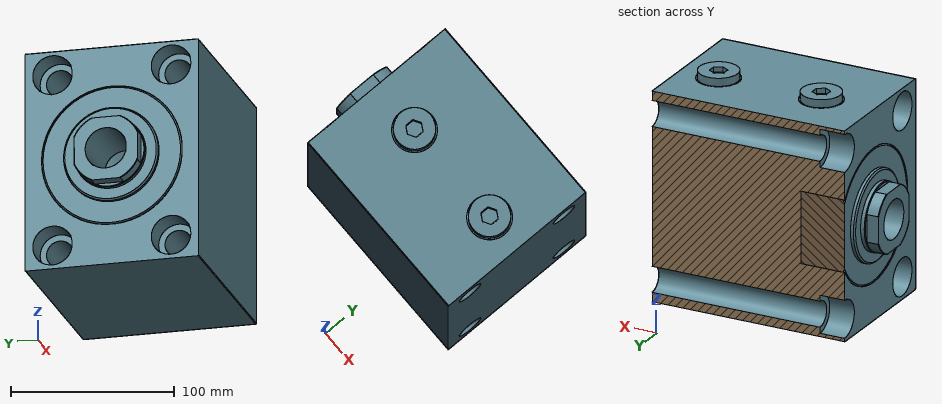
import cadquery as cq
import math


block_length = 133.0
block_width = 110.0
block_height = 140.0
edge_chamfer = 0.5
axis_height = block_height / 2

mount_spacing_y = 75.0
mount_spacing_z = 110.0
mount_hole_diameter = 17.0
mount_counterbore_diameter = 25.0
mount_counterbore_depth = 17.0

gland_diameter = 89.0
gland_depth = 30.0
gland_chamfer = 1.0
collar_diameter = 60.0
collar_reach = 3.0
collar_chamfer_length = 1.0
collar_chamfer_depth = 1.0

rod_diameter = 45.0
rod_chamfer = 0.5
rod_shoulder_reach = 6.0
rod_tip_reach = 14.0
rod_inner_depth = 60.0
wrench_diameter = 44.0
wrench_across_flats = 40.0
wrench_tip_chamfer = 0.3
rod_hole_diameter = 26.0
rod_hole_depth = 45.0
drill_point_angle = 118.0

plug_positions_x = (36.0, 107.0)
plug_diameter = 26.0
plug_reach = 4.9
plug_socket_across_flats = 9.7
plug_socket_depth = 3.5
spotface_diameter = 28.0
spotface_depth = 0.5


def rod_axis_cylinder(diameter, start_x, end_x):
    """Cylinder on the rod axis between two X positions."""
    return (
        cq.Workplane("YZ", origin=(start_x, 0, axis_height))
        .circle(diameter / 2)
        .extrude(end_x - start_x)
    )


def mount_cylinders(diameter, depth):
    """Four cylinders at the mounting hole positions, reaching back from the front face."""
    return (
        cq.Workplane("YZ", origin=(0, 0, axis_height))
        .rarray(mount_spacing_y, mount_spacing_z, 2, 2)
        .circle(diameter / 2)
        .extrude(depth)
    )


def make_housing():
    housing = (
        cq.Workplane("XY")
        .box(block_length, block_width, block_height, centered=(False, True, False))
        .edges("|X")
        .chamfer(edge_chamfer)
    )
    housing = housing.cut(rod_axis_cylinder(gland_diameter, 0, gland_depth))
    housing = housing.cut(rod_axis_cylinder(rod_diameter, 0, rod_inner_depth))
    housing = housing.cut(mount_cylinders(mount_hole_diameter, block_length))
    housing = housing.cut(mount_cylinders(mount_counterbore_diameter, mount_counterbore_depth))
    for plug_x in plug_positions_x:
        spotface = (
            cq.Workplane("XY", origin=(plug_x, 0, block_height - spotface_depth))
            .circle(spotface_diameter / 2)
            .extrude(spotface_depth)
        )
        housing = housing.cut(spotface)
    return housing


def make_gland():
    insert = rod_axis_cylinder(gland_diameter, 0, gland_depth).faces("<X").chamfer(gland_chamfer)
    collar = (
        rod_axis_cylinder(collar_diameter, -collar_reach, gland_depth)
        .faces("<X")
        .edges()
        .chamfer(collar_chamfer_length, collar_chamfer_depth)
    )
    return insert.union(collar).cut(rod_axis_cylinder(rod_diameter, -collar_reach, gland_depth))


def make_rod():
    shaft = (
        rod_axis_cylinder(rod_diameter, -rod_shoulder_reach, rod_inner_depth)
        .faces("<X")
        .chamfer(rod_chamfer)
    )
    wrench_end = (
        rod_axis_cylinder(wrench_diameter, -rod_tip_reach, 0)
        .faces("<X")
        .chamfer(wrench_tip_chamfer)
    )
    flats = (
        cq.Workplane("YZ", origin=(-rod_tip_reach, 0, axis_height))
        .rect(wrench_across_flats, wrench_across_flats)
        .extrude(rod_tip_reach)
    )
    hole_radius = rod_hole_diameter / 2
    hole_end_x = rod_hole_depth - rod_tip_reach
    point_length = hole_radius / math.tan(math.radians(drill_point_angle / 2))
    hole = (
        cq.Workplane("XZ", origin=(0, 0, axis_height))
        .moveTo(-rod_tip_reach, 0)
        .lineTo(-rod_tip_reach, hole_radius)
        .lineTo(hole_end_x, hole_radius)
        .lineTo(hole_end_x + point_length, 0)
        .close()
        .revolve(360, (0, 0, 0), (1, 0, 0))
    )
    return shaft.union(wrench_end.intersect(flats)).cut(hole)


def make_plug(plug_x):
    socket_corner_diameter = plug_socket_across_flats / math.cos(math.pi / 6)
    plug_top = block_height + plug_reach
    plug = (
        cq.Workplane("XY", origin=(plug_x, 0, block_height - spotface_depth))
        .circle(plug_diameter / 2)
        .extrude(spotface_depth + plug_reach)
    )
    socket = (
        cq.Workplane("XY", origin=(plug_x, 0, plug_top))
        .transformed(rotate=(0, 0, 90))
        .polygon(6, socket_corner_diameter)
        .extrude(-plug_socket_depth)
    )
    return plug.cut(socket)


housing = make_housing()
gland = make_gland()
rod = make_rod()
plugs = [make_plug(plug_x) for plug_x in plug_positions_x]

result = cq.Compound.makeCompound(
    [housing.val(), gland.val(), rod.val(), *[plug.val() for plug in plugs]]
)